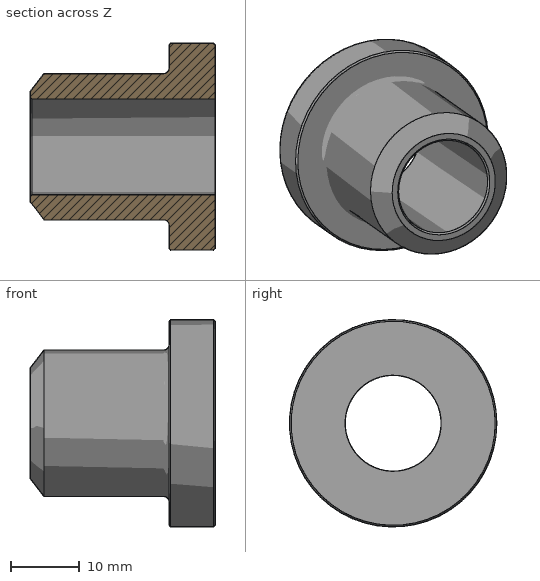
import cadquery as cq

total_length = 26.92
body_diameter = 21.34
flange_diameter = 30.18
flange_thickness = 6.73
bore_diameter = 13.92

lead_in_length = 2.0
lead_in_depth = 2.6
neck_fillet_radius = 0.79
flange_chamfer = 0.25
bore_chamfer = 0.25

tip_x = -total_length
flange_x = -flange_thickness
body_radius = body_diameter / 2
flange_radius = flange_diameter / 2
bore_radius = bore_diameter / 2
tip_radius = body_radius - lead_in_depth


def revolve_about_x(profile):
    """Turn a closed profile (X along the axis, Y as radius) a full turn about X."""
    return profile.revolve(360, (0, 0, 0), (1, 0, 0))


def make_flanged_bushing():
    """Plain body with a tapered tip, a flange at +X and a concave fillet between them."""
    profile = (
        cq.Workplane("XY")
        .moveTo(tip_x, 0)
        .lineTo(tip_x, tip_radius)
        .lineTo(tip_x + lead_in_length, body_radius)
        .lineTo(flange_x - neck_fillet_radius, body_radius)
        .radiusArc((flange_x, body_radius + neck_fillet_radius), -neck_fillet_radius)
        .lineTo(flange_x, flange_radius - flange_chamfer)
        .lineTo(flange_x + flange_chamfer, flange_radius)
        .lineTo(-flange_chamfer, flange_radius)
        .lineTo(0, flange_radius - flange_chamfer)
        .lineTo(0, 0)
        .close()
    )
    return revolve_about_x(profile)


def make_bore():
    """Through bore, chamfered at the tapered tip."""
    profile = (
        cq.Workplane("XY")
        .moveTo(tip_x, 0)
        .lineTo(tip_x, bore_radius + bore_chamfer)
        .lineTo(tip_x + bore_chamfer, bore_radius)
        .lineTo(0, bore_radius)
        .lineTo(0, 0)
        .close()
    )
    return revolve_about_x(profile)


result = make_flanged_bushing().cut(make_bore())